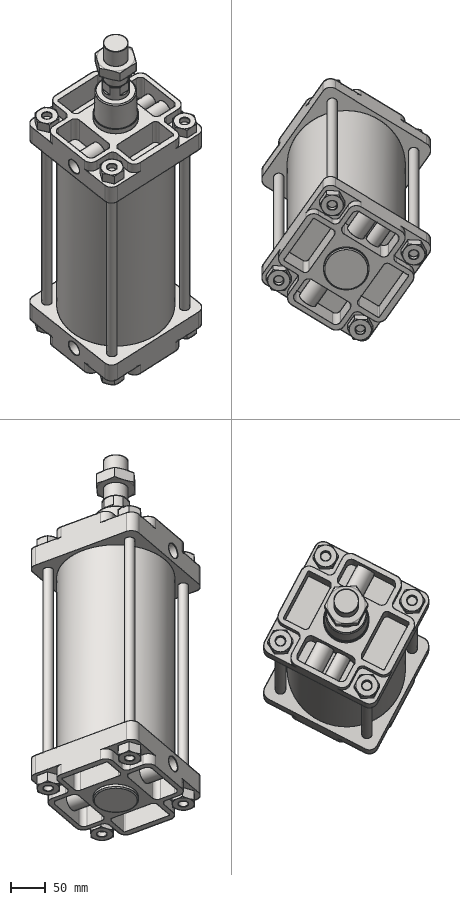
import cadquery as cq
import math

overall_height = 588.0
tail_boss_height = 6.0
tail_boss_chamfer = 2.0
cap_height = 50.0
flange_height = 32.5
tube_length = 330.0
rear_cap_bottom = tail_boss_height
rear_cap_top = rear_cap_bottom + cap_height
front_cap_bottom = rear_cap_top + tube_length
front_cap_top = front_cap_bottom + cap_height

cap_width = 182.0
cap_corner_radius = 13.0
recess_size = 44.0
recess_corner_radius = 8.0
arm_tip_radius = 13.0
pocket_length = 79.0
pocket_inner_wall = 42.5
pocket_depth = 42.5
port_pocket_side_wall = 7.5
port_pocket_outer_radius = 8.0
port_pocket_inner_radius = 8.0
plain_pocket_side_wall = 9.5
plain_pocket_outer_radius = 2.0
plain_pocket_inner_radius = 6.5

port_offset = 12.0
port_height = 20.0
port_diameter = 24.0
port_depth = cap_width / 2 - pocket_inner_wall
port_chamfer = 0.5
port_boss_diameter = 28.0
needle_boss_offset = -17.5
needle_boss_height = 15.0
needle_boss_diameter = 22.5

tube_diameter = 170.0
tie_rod_spacing = 140.0
tie_rod_diameter = 15.0
tie_nut_flats = 32.0
tie_nut_height = 16.5
tie_nut_chamfer = 1.0
tie_nut_hole_diameter = 14.0
tie_nut_hole_depth = 9.0
tie_nut_hole_chamfer = 0.5

boss_diameter = 65.0
collar_height = 9.0
collar_top = front_cap_top + collar_height
bush_top = 491.5
bush_base_diameter = 62.5
bush_tip_diameter = 60.0
bush_chamfer = 2.0

rod_diameter = 40.0
rod_flat_spacing = 36.5
rod_flat_bottom = 498.5
shoulder_chamfer = 1.0
thread_diameter = 36.0
thread_bottom = 517.0
thread_tip_chamfer = 0.5
rod_nut_bottom = 540.0
rod_nut_height = 18.0
rod_nut_flats = 54.0
rod_nut_chamfer = 1.0


def cylinder(diameter, bottom, top):
    """Vertical cylinder on the Z axis between two heights."""
    return cq.Workplane("XY").workplane(offset=bottom).circle(diameter / 2).extrude(top - bottom)


def crosswise_cylinder(diameter, x, z, y_start, y_end):
    """Cylinder along Y between two Y positions."""
    start = cq.Vector(x, y_start, z)
    return cq.Workplane(cq.Solid.makeCylinder(diameter / 2, y_end - y_start, start, cq.Vector(0, 1, 0)))


def hex_prism(flats, height):
    """Hexagonal prism standing on Z = 0 with two flats facing +X and -X."""
    corner_diameter = flats / math.cos(math.pi / 6)
    return cq.Workplane("XY").polygon(6, corner_diameter).extrude(height).rotate((0, 0, 0), (0, 0, 1), 30)


def chamfered_disc(diameter, face_diameter, height, drop):
    """Cylinder whose top edge is bevelled down to a smaller face circle."""
    radius = diameter / 2
    profile = [(0, 0), (radius, 0), (radius, height - drop), (face_diameter / 2, height), (0, height)]
    return cq.Workplane("XZ").polyline(profile).close().revolve(360, (0, 0), (0, 1))


def make_cap_block():
    """Cap with its inner face on Z = 0: a square flange carrying a cross with rounded arms."""
    block = cq.Workplane("XY").rect(cap_width, cap_width).extrude(cap_height)
    block = block.edges("|Z").fillet(cap_corner_radius)
    half_width = cap_width / 2
    half_arm = half_width - recess_size
    tip = half_arm - arm_tip_radius
    inset = half_width - arm_tip_radius
    bend = half_arm + recess_corner_radius
    recess = (
        cq.Workplane("XY")
        .workplane(offset=flange_height)
        .moveTo(tip, half_width)
        .radiusArc((half_arm, inset), arm_tip_radius)
        .lineTo(half_arm, bend)
        .radiusArc((bend, half_arm), -recess_corner_radius)
        .lineTo(inset, half_arm)
        .radiusArc((half_width, tip), arm_tip_radius)
        .lineTo(cap_width, tip)
        .lineTo(cap_width, cap_width)
        .lineTo(tip, cap_width)
        .close()
        .extrude(cap_height - flange_height)
    )
    for quarter in range(4):
        block = block.cut(recess.rotate((0, 0, 0), (0, 0, 1), 90 * quarter))
    return block


def make_pocket(side_wall, outer_radius, inner_radius):
    """Pocket volume on the +Y arm, with one corner radius at the side wall and one at the core."""
    width = cap_width / 2 - side_wall - pocket_inner_wall
    pocket = (
        cq.Workplane("XY")
        .workplane(offset=cap_height - pocket_depth)
        .center(0, pocket_inner_wall + width / 2)
        .rect(pocket_length, width)
        .extrude(pocket_depth)
    )
    pocket = pocket.edges("|Z and >Y").fillet(outer_radius)
    return pocket.edges("|Z and <Y").fillet(inner_radius)


def make_pocket_boss(diameter, x, z):
    """Boss crossing the +Y pocket from the core to the side wall."""
    outer_wall = cap_width / 2 - port_pocket_side_wall
    return crosswise_cylinder(diameter, x, z, pocket_inner_wall, outer_wall)


def make_port():
    """Blind port entering from the -Y face, with a small countersink."""
    bore_radius = port_diameter / 2 - port_chamfer
    profile = [
        (0, 0),
        (port_diameter / 2, 0),
        (bore_radius, port_chamfer),
        (bore_radius, port_depth),
        (0, port_depth),
    ]
    port = cq.Workplane("XY").polyline(profile).close().revolve(360, (0, 0), (0, 1))
    return port.translate((port_offset, -cap_width / 2, port_height))


def make_cap():
    """Complete end cap with pockets, pocket bosses and the port in its -Y face."""
    cap = make_cap_block()
    port_pocket = make_pocket(port_pocket_side_wall, port_pocket_outer_radius, port_pocket_inner_radius)
    plain_pocket = make_pocket(plain_pocket_side_wall, plain_pocket_outer_radius, plain_pocket_inner_radius)
    for angle in (0, 180):
        cap = cap.cut(port_pocket.rotate((0, 0, 0), (0, 0, 1), angle))
        cap = cap.cut(plain_pocket.rotate((0, 0, 0), (0, 0, 1), angle + 90))
    port_boss = make_pocket_boss(port_boss_diameter, port_offset, port_height)
    needle_boss = make_pocket_boss(needle_boss_diameter, needle_boss_offset, needle_boss_height)
    cap = cap.union(port_boss).union(port_boss.mirror("XZ")).union(needle_boss)
    return cap.cut(make_port())


def make_tie_nut():
    """Tie-rod nut on Z = 0 with a bevelled outer face and a blind hole."""
    nut = hex_prism(tie_nut_flats, tie_nut_height)
    corner_diameter = tie_nut_flats / math.cos(math.pi / 6)
    envelope = chamfered_disc(corner_diameter, tie_nut_flats, tie_nut_height, tie_nut_chamfer)
    hole = cylinder(tie_nut_hole_diameter, tie_nut_height - tie_nut_hole_depth, tie_nut_height)
    nut = nut.intersect(envelope).cut(hole)
    hole_rim = nut.faces(">Z").edges("%CIRCLE").edges(cq.selectors.RadiusNthSelector(0))
    return hole_rim.chamfer(tie_nut_hole_chamfer)


def make_cap_with_nuts():
    """End cap with a tie-rod nut seated in each corner recess."""
    assembly = make_cap()
    nut = make_tie_nut()
    for x in (-1, 1):
        for y in (-1, 1):
            seat = (x * tie_rod_spacing / 2, y * tie_rod_spacing / 2, flange_height)
            assembly = assembly.union(nut.translate(seat))
    return assembly


def make_guide_bush():
    """Collar and tapered bush around the rod, on top of the front cap."""
    collar_radius = boss_diameter / 2
    base_radius = bush_base_diameter / 2
    tip_radius = bush_tip_diameter / 2
    profile = [
        (0, front_cap_top),
        (collar_radius, front_cap_top),
        (collar_radius, collar_top),
        (base_radius, collar_top),
        (tip_radius, bush_top - bush_chamfer),
        (tip_radius - bush_chamfer, bush_top),
        (0, bush_top),
    ]
    return cq.Workplane("XZ").polyline(profile).close().revolve(360, (0, 0), (0, 1))


def make_housing():
    """Both caps, the tube, the tie rods, the rear boss and the guide bush, bored for the rod."""
    cap = make_cap_with_nuts()
    housing = cylinder(tube_diameter, rear_cap_top, front_cap_bottom)
    tie_rods = (
        cq.Workplane("XY")
        .workplane(offset=rear_cap_top)
        .rect(tie_rod_spacing, tie_rod_spacing, forConstruction=True)
        .vertices()
        .circle(tie_rod_diameter / 2)
        .extrude(tube_length)
    )
    rear_boss = cylinder(boss_diameter, 0, tail_boss_height).faces("<Z").edges().chamfer(tail_boss_chamfer)
    housing = housing.union(tie_rods)
    housing = housing.union(cap.translate((0, 0, front_cap_bottom)))
    housing = housing.union(cap.mirror("XY").translate((0, 0, rear_cap_top)))
    housing = housing.union(rear_boss)
    housing = housing.union(make_guide_bush())
    return housing.cut(cylinder(rod_diameter, front_cap_bottom, bush_top))


def make_piston_rod():
    """Round rod with four wrench flats below a thinner threaded end."""
    shank = cylinder(rod_diameter, front_cap_bottom, thread_bottom)
    shank = shank.faces(">Z").edges().chamfer(shoulder_chamfer)
    runout = (rod_diameter - rod_flat_spacing) / 2
    section = cq.Workplane("XY").workplane(offset=rod_flat_bottom)
    core = section.rect(rod_flat_spacing, rod_flat_spacing).extrude(thread_bottom - rod_flat_bottom)
    core = core.union(section.rect(rod_diameter, rod_diameter).extrude(runout, taper=45))
    flats = section.rect(rod_diameter, rod_diameter).extrude(thread_bottom - rod_flat_bottom).cut(core)
    thread = cylinder(thread_diameter, thread_bottom, overall_height)
    thread = thread.faces(">Z").edges().chamfer(thread_tip_chamfer)
    return shank.cut(flats).union(thread)


def make_rod_nut():
    """Lock nut on the rod thread, bevelled on both faces."""
    corner_diameter = rod_nut_flats / math.cos(math.pi / 6)
    bevel = chamfered_disc(corner_diameter, rod_nut_flats, rod_nut_height, rod_nut_chamfer)
    underside_bevel = bevel.mirror("XY").translate((0, 0, rod_nut_height))
    nut = hex_prism(rod_nut_flats, rod_nut_height).intersect(bevel).intersect(underside_bevel)
    nut = nut.translate((0, 0, rod_nut_bottom))
    return nut.cut(cylinder(thread_diameter, rod_nut_bottom, rod_nut_bottom + rod_nut_height))


housing = make_housing()
piston_rod = make_piston_rod()
rod_nut = make_rod_nut()
result = cq.Compound.makeCompound([housing.val(), piston_rod.val(), rod_nut.val()])